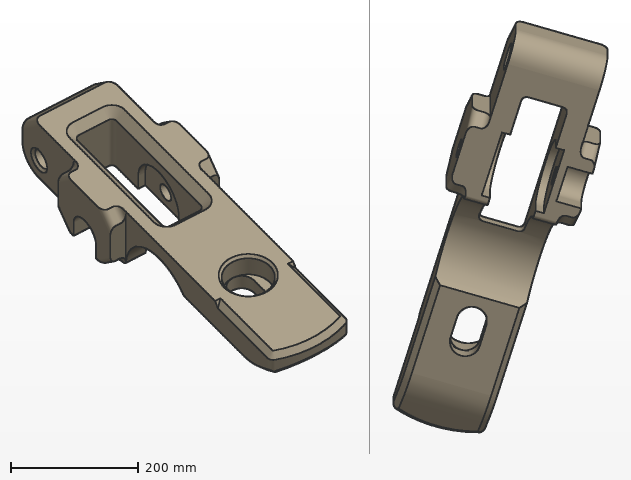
import cadquery as cq
import math

LENGTH = 685.0
HEIGHT = 120.0
BODY_WIDTH = 151.0
OVERALL_WIDTH = 210.0
HALF_BODY = BODY_WIDTH / 2
HALF_OVERALL = OVERALL_WIDTH / 2
MARGIN = 34.0
PICK_GAP = 1.0

NOSE_SLOPE = 30.0
NOSE_SLOPE_FILLET = 12.0
NOSE_RADIUS = 44.0
PIVOT_X = 45.0
PIVOT_Z = 40.0
PIVOT_DIAMETER = 34.0
PIVOT_CHAMFER = 5.0

RELIEF_X = 370.0
RELIEF_RADIUS = 90.0
HEEL_FILLET = 8.0

ARM_BOTTOM_Z = 51.0
ARM_CHAMFER = 10.0
TIP_UNDERSIDE_CHAMFER = 5.5
TIP_PLAN_RADIUS = 185.0
TIP_CORNER_FILLET = 11.0
TIP_RISE_X = 596.5
TIP_RISE_RADIUS = 101.5
TIP_RISE_ANGLE = 30.0
TOP_CHAMFER_START_X = 520.5
TOP_CHAMFER_RUNOUT = 7.5

EAR_X = 209.0
EAR_LENGTH = 141.0
EAR_CORNER = 20.5
EAR_FILLET = 10.0
EAR_HOLE_X = 210.0
EAR_HOLE_Z = 29.5
EAR_HOLE_DIAMETER = 29.5
EAR_SLOT_RADIUS = 30.0
EAR_SLOT_DEPTH = 41.0
INNER_SLOT_RADIUS = 55.0
INNER_SLOT_DEPTH = 14.0

WINDOW_X_MIN = 88.0
WINDOW_X_MAX = 333.0
WINDOW_WIDTH = 75.0
WINDOW_CORNER = 9.0
WINDOW_CHAMFER = 16.0

BORE_X = 505.0
BORE_RADIUS = 42.0
BORE_CHAMFER = 5.0
BORE_DEPTH = 41.0
BORE_SLOT_WIDTH = 48.0
BORE_SLOT_LENGTH = 2 * BORE_RADIUS


def extrude_across(outline, width):
    """Extrude an outline of the XZ plane to both sides of Y = 0."""
    return outline.extrude(width / 2, both=True)


def make_head():
    """Deep rear block: sloped nose on top, round nose below."""
    outline = (
        cq.Workplane("XZ")
        .moveTo(NOSE_RADIUS, 0)
        .lineTo(RELIEF_X, 0)
        .lineTo(RELIEF_X, HEIGHT)
        .lineTo(NOSE_SLOPE, HEIGHT)
        .lineTo(0, HEIGHT - NOSE_SLOPE)
        .lineTo(0, NOSE_RADIUS)
        .radiusArc((NOSE_RADIUS, 0), -NOSE_RADIUS)
        .close()
    )
    head = extrude_across(outline, BODY_WIDTH)
    slope_face = head.faces(cq.selectors.DirectionMinMaxSelector(cq.Vector(-1, 0, 1)))
    return slope_face.edges("not |Y").fillet(NOSE_SLOPE_FILLET)


def make_arm():
    """Shallow arm with an upswept, rounded and chamfered tip."""
    angle = math.radians(TIP_RISE_ANGLE)
    rise_end_x = TIP_RISE_X + TIP_RISE_RADIUS * math.sin(angle)
    rise_end_z = ARM_BOTTOM_Z + TIP_RISE_RADIUS * (1 - math.cos(angle))
    past_tip_x = LENGTH + MARGIN
    past_tip_z = rise_end_z + (past_tip_x - rise_end_x) * math.tan(angle)
    outline = (
        cq.Workplane("XZ")
        .moveTo(RELIEF_X, ARM_BOTTOM_Z)
        .lineTo(TIP_RISE_X, ARM_BOTTOM_Z)
        .radiusArc((rise_end_x, rise_end_z), -TIP_RISE_RADIUS)
        .lineTo(past_tip_x, past_tip_z)
        .lineTo(past_tip_x, HEIGHT)
        .lineTo(RELIEF_X, HEIGHT)
        .close()
    )
    tip_corner_x = LENGTH - TIP_PLAN_RADIUS + math.sqrt(TIP_PLAN_RADIUS**2 - HALF_BODY**2)
    plan = (
        cq.Workplane("XY")
        .moveTo(RELIEF_X, -HALF_BODY)
        .lineTo(tip_corner_x, -HALF_BODY)
        .threePointArc((LENGTH, 0), (tip_corner_x, HALF_BODY))
        .lineTo(RELIEF_X, HALF_BODY)
        .close()
        .extrude(HEIGHT)
        .edges("|Z and (not <X)")
        .fillet(TIP_CORNER_FILLET)
    )
    arm = extrude_across(outline, BODY_WIDTH)
    arm = arm.faces("<Y or >Y").edges("<Z").chamfer(ARM_CHAMFER)
    arm = arm.intersect(plan)
    runout = extrude_across(
        cq.Workplane("XZ").polyline(
            [
                (RELIEF_X, HEIGHT - 2 * ARM_CHAMFER),
                (RELIEF_X, HEIGHT),
                (TOP_CHAMFER_START_X, HEIGHT),
                (TOP_CHAMFER_START_X + 2 * TOP_CHAMFER_RUNOUT, HEIGHT - 2 * ARM_CHAMFER),
            ]
        ).close(),
        BODY_WIDTH,
    )
    arm = arm.faces(">Z").edges("|X").chamfer(ARM_CHAMFER)
    tip_underside = cq.selectors.NearestToPointSelector((LENGTH, 0, rise_end_z))
    chamfered = arm.edges(tip_underside).chamfer(TIP_UNDERSIDE_CHAMFER)
    return chamfered.union(runout)


def make_ear_blocks():
    """Block of both ears, with the four corners cut at 45 degrees.

    Each corner face blends into the body below it and into the ear's outer face.
    """
    reach = HALF_OVERALL - HALF_BODY
    ears = (
        cq.Workplane("XY")
        .pushPoints([(EAR_X, side * (HALF_BODY + reach / 2)) for side in (-1, 1)])
        .rect(EAR_LENGTH, reach)
        .extrude(HEIGHT)
    )
    blend = EAR_FILLET
    outline = (
        cq.Workplane("XY")
        .moveTo(MARGIN, HALF_BODY)
        .lineTo(blend, HALF_BODY)
        .radiusArc((0, HALF_BODY + blend), blend)
        .lineTo(0, HALF_OVERALL - blend)
        .radiusArc((-blend, HALF_OVERALL), -blend)
        .lineTo(-blend, HALF_OVERALL + MARGIN)
        .lineTo(MARGIN, HALF_OVERALL + MARGIN)
        .close()
    )
    corner = outline.extrude(HEIGHT / 2, both=True)
    corners = corner.union(corner.mirror("XZ"))
    for side_x in (-1, 1):
        for side_z in (-1, 1):
            tilt = math.degrees(math.atan2(-side_z, side_x))
            center = (
                EAR_X + side_x * (EAR_LENGTH - EAR_CORNER) / 2,
                0,
                HEIGHT / 2 + side_z * (HEIGHT - EAR_CORNER) / 2,
            )
            ears = ears.cut(corners.rotate((0, 0, 0), (0, 1, 0), tilt).translate(center))
    return ears


def u_slot(radius, y_start, y_end):
    """Round-topped slot about the ear hole axis, open at the bottom."""
    return (
        cq.Workplane("XZ", origin=(0, y_start, 0))
        .moveTo(EAR_HOLE_X - radius, -MARGIN)
        .lineTo(EAR_HOLE_X - radius, EAR_HOLE_Z)
        .threePointArc((EAR_HOLE_X, EAR_HOLE_Z + radius), (EAR_HOLE_X + radius, EAR_HOLE_Z))
        .lineTo(EAR_HOLE_X + radius, -MARGIN)
        .close()
        .extrude(y_start - y_end)
    )


def cross_hole(x, z, diameter):
    """Round hole through the whole width."""
    return extrude_across(cq.Workplane("XZ").center(x, z).circle(diameter / 2), OVERALL_WIDTH + MARGIN)


def pivot_hole():
    """Pivot hole through the nose with a chamfer at both ends."""
    hole = cross_hole(PIVOT_X, PIVOT_Z, PIVOT_DIAMETER)
    for side in (-1, 1):
        rim = cq.Solid.makeCone(
            PIVOT_DIAMETER / 2 + PIVOT_CHAMFER,
            PIVOT_DIAMETER / 2,
            PIVOT_CHAMFER,
            cq.Vector(PIVOT_X, side * HALF_BODY, PIVOT_Z),
            cq.Vector(0, -side, 0),
        )
        hole = hole.union(cq.Workplane(rim))
    return hole


def window():
    """Rectangular window through the body, chamfered along its top edge."""
    length = WINDOW_X_MAX - WINDOW_X_MIN
    window_x = (WINDOW_X_MIN + WINDOW_X_MAX) / 2
    opening = (
        cq.Workplane("XY")
        .center(window_x, 0)
        .rect(length, WINDOW_WIDTH)
        .extrude(HEIGHT)
        .edges("|Z")
        .fillet(WINDOW_CORNER)
    )
    flare_outline = cq.Sketch().rect(
        length + 2 * WINDOW_CHAMFER, WINDOW_WIDTH + 2 * WINDOW_CHAMFER
    ).vertices().fillet(WINDOW_CORNER + WINDOW_CHAMFER)
    flare = (
        cq.Workplane("XY", origin=(window_x, 0, HEIGHT))
        .placeSketch(flare_outline)
        .extrude(-WINDOW_CHAMFER, taper=45)
    )
    return opening.union(flare)


def counterbored_slot():
    """Round counterbore from the top with an oblong slot on through."""
    bore = (
        cq.Workplane("XY", origin=(BORE_X, 0, HEIGHT - BORE_DEPTH))
        .circle(BORE_RADIUS)
        .extrude(BORE_DEPTH)
    )
    rim = cq.Solid.makeCone(
        BORE_RADIUS, BORE_RADIUS + BORE_CHAMFER, BORE_CHAMFER,
        cq.Vector(BORE_X, 0, HEIGHT - BORE_CHAMFER),
    )
    slot = (
        cq.Workplane("XY", origin=(BORE_X, 0, 0))
        .slot2D(BORE_SLOT_LENGTH, BORE_SLOT_WIDTH)
        .extrude(HEIGHT - BORE_DEPTH)
    )
    return bore.union(cq.Workplane(rim)).union(slot)


def make_body():
    """Head and arm joined, with the round relief below and a rounded heel beside it."""
    relief = extrude_across(
        cq.Workplane("XZ").center(RELIEF_X, 0).circle(RELIEF_RADIUS), OVERALL_WIDTH + MARGIN
    )
    heel_x = RELIEF_X - RELIEF_RADIUS
    heel_edge = cq.selectors.BoxSelector(
        (heel_x - PICK_GAP, -HALF_BODY, -PICK_GAP), (heel_x + PICK_GAP, HALF_BODY, PICK_GAP)
    )
    body = make_head().union(make_arm()).cut(relief)
    return body.edges(heel_edge).fillet(HEEL_FILLET)


result = make_body().union(make_ear_blocks())
result = result.cut(window()).cut(counterbored_slot()).cut(pivot_hole())
result = result.cut(cross_hole(EAR_HOLE_X, EAR_HOLE_Z, EAR_HOLE_DIAMETER))

slot_floor_y = HALF_OVERALL - EAR_SLOT_DEPTH
result = result.cut(u_slot(EAR_SLOT_RADIUS, -slot_floor_y, -HALF_OVERALL))
inner_recess_y = WINDOW_WIDTH / 2 + INNER_SLOT_DEPTH
result = result.cut(u_slot(INNER_SLOT_RADIUS, inner_recess_y, -inner_recess_y))